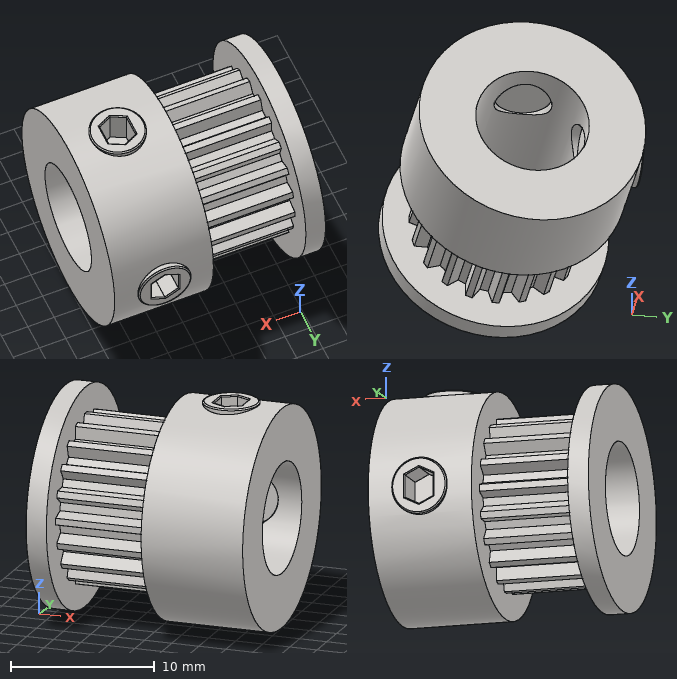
import cadquery as cq
import math

rim_diameter = 16.0
bore_diameter = 8.0
flange_width = 1.5
belt_width = 7.0
hub_width = 7.5

tooth_count = 20
tip_height = 6.1
tip_half_width = 0.25
root_height = 5.25
root_half_width = 0.29

screw_diameter = 4.0
screw_length = 4.05
screw_rim_chamfer = 0.1
top_screw_projection = 0.15
side_screw_projection = 0.2
socket_half_width = 1.02
socket_corner_reach = 1.3
socket_flat_half_length = 0.8
socket_depth = 2.43
socket_chamfer = 0.08

total_width = flange_width + belt_width + hub_width
rim_radius = rim_diameter / 2
flange_start = -total_width / 2
track_start = flange_start + flange_width
hub_start = track_start + belt_width
hub_middle = hub_start + hub_width / 2
tooth_pitch = 360 / tooth_count
top_screw_turn = 0
side_screw_turn = -90


def disc(start, width):
    return cq.Workplane("YZ", origin=(start, 0, 0)).circle(rim_radius).extrude(width)


def turned(height, offset, degrees):
    """A point at a height above the axis and an offset to its left, turned about the axis."""
    angle = math.radians(degrees)
    return (
        height * math.cos(angle) - offset * math.sin(angle),
        height * math.sin(angle) + offset * math.cos(angle),
    )


def toothed_track():
    """Flat tooth tips and flat groove bottoms, joined by straight tooth sides."""
    outline = []
    for tooth in range(tooth_count):
        tip_middle = tooth * tooth_pitch
        root_middle = tip_middle + tooth_pitch / 2
        outline.append(turned(tip_height, -tip_half_width, tip_middle))
        outline.append(turned(tip_height, tip_half_width, tip_middle))
        outline.append(turned(root_height, -root_half_width, root_middle))
        outline.append(turned(root_height, root_half_width, root_middle))
    track = cq.Workplane("YZ", origin=(track_start, 0, 0))
    return track.polyline(outline).close().extrude(belt_width)


def place_on_hub(shape, turn):
    """Turn a shape built along +Z about the pulley axis and move it to the middle of the hub."""
    return shape.rotate((0, 0, 0), (1, 0, 0), turn).translate((hub_middle, 0, 0))


def screw_hole(turn):
    """A plain radial hole from the bore out through the hub."""
    hole = cq.Workplane("XY").circle(screw_diameter / 2).extrude(rim_diameter)
    return place_on_hub(hole, turn)


def make_pulley():
    pulley = disc(flange_start, flange_width)
    pulley = pulley.union(toothed_track())
    pulley = pulley.union(disc(hub_start, hub_width))
    bore = cq.Workplane("YZ", origin=(flange_start, 0, 0)).circle(bore_diameter / 2).extrude(total_width)
    pulley = pulley.cut(bore)
    for turn in (top_screw_turn, side_screw_turn):
        pulley = pulley.cut(screw_hole(turn))
    return pulley


def socket_cutter(outer_end):
    """Six-sided socket, sunk from the outer end of a screw."""
    corners = [
        (0, socket_corner_reach),
        (socket_half_width, socket_flat_half_length),
        (socket_half_width, -socket_flat_half_length),
        (0, -socket_corner_reach),
        (-socket_half_width, -socket_flat_half_length),
        (-socket_half_width, socket_flat_half_length),
    ]
    mouth = cq.Workplane("XY", origin=(0, 0, outer_end)).polyline(corners).close()
    return mouth.extrude(-socket_depth)


def make_set_screw(projection, turn):
    outer_end = rim_radius + projection
    screw = cq.Workplane("XY", origin=(0, 0, outer_end)).circle(screw_diameter / 2).extrude(-screw_length)
    screw = screw.faces(">Z").chamfer(screw_rim_chamfer)
    screw = screw.cut(socket_cutter(outer_end))
    screw = screw.faces(">Z").wires(cq.selectors.LengthNthSelector(0)).chamfer(socket_chamfer)
    return place_on_hub(screw, turn)


pulley = make_pulley()
set_screws = []
for projection, turn in (
    (top_screw_projection, top_screw_turn),
    (side_screw_projection, side_screw_turn),
):
    set_screws.append(make_set_screw(projection, turn).val())

result = cq.Compound.makeCompound([pulley.val(), *set_screws])